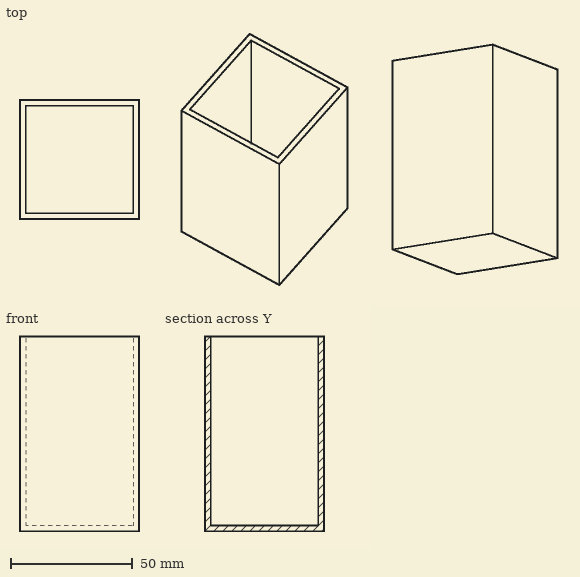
import cadquery as cq

side = 49.0
height = 80.0

wall_thickness = 2.5
floor_thickness = wall_thickness

cavity_side = side - 2 * wall_thickness
cavity_depth = height - floor_thickness


def make_body():
    """Solid square block standing on the XY plane, centred on the Z axis."""
    return cq.Workplane("XY").rect(side, side).extrude(height)


def cut_cavity(body):
    """Hollow the block from its top face, leaving the floor and four walls."""
    return body.faces(">Z").workplane().rect(cavity_side, cavity_side).cutBlind(-cavity_depth)


result = cut_cavity(make_body())